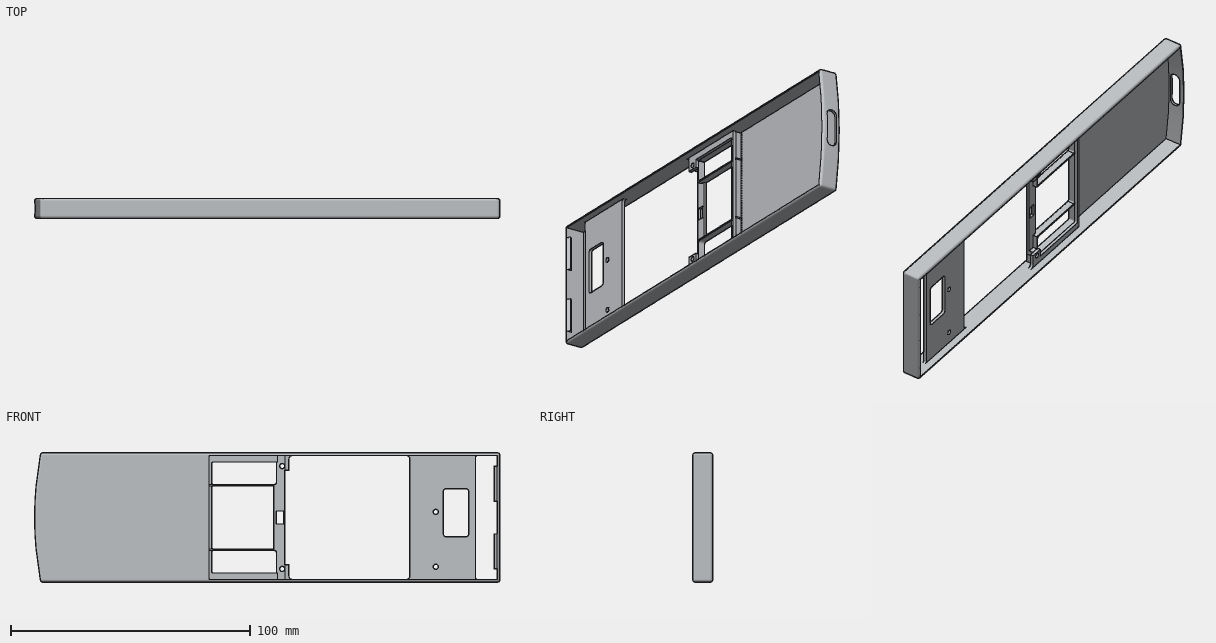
import cadquery as cq
import math

length = 194.74
depth = 8.5
height = 54.24
wall = 1.2
edge_round = 1.15
end_arc_radius = 144.0
panel_thickness = 1.2
end_slot_length = 16.4
end_slot_width = 4.6

front = -depth / 2
back = depth / 2
web_front = -0.45
web_back = 0.95
insert_front = -3.55

panel_edge = -24.4
window_left = -23.2
column_left = 2.65
window_right = 3.85
rail_end = 4.3
column_right = 7.35
tab_right = 9.1
plate_left = 59.6
plate_right = 87.2

inner_height = height - 2 * wall
inner_half = inner_height / 2
rail_edge = 23.2
tab_edge = 19.7
bar_outer = 13.8
bar_inner = 13.2

panel_corner_radius = 0.6
window_radius = 0.6
end_opening_radius = 0.6
opening_radius = 1.5
bar_bend_radius = 1.0
column_thickness = 1.2
screw_diameter = 2.05
column_screw_x = 6.25
column_screw_z = 21.5
column_slot_left = 3.85
column_slot_right = 6.75
column_slot_height = 5.3
port_x = (73.7, 84.3)
port_z = (-8.0, 12.0)
port_radius = 1.2
plate_screw_x = 70.5
plate_screw_z = (2.35, -20.6)

ridge_height = 1.2
ridge_inner = 6.8
ridge_outer = 21.5


def box(x0, x1, y0, y1, z0, z1):
    """A block given by its limits on the three axes."""
    return cq.Workplane("XY").box(x1 - x0, y1 - y0, z1 - z0, centered=False).translate((x0, y0, z0))


def screw_hole(x, z):
    """A cutter along Y through the whole depth."""
    return cq.Workplane("XZ", origin=(x, back, z)).circle(screw_diameter / 2).extrude(depth)


def rounded_end_block(inset, y0, y1):
    """The housing outline, moved inwards by inset, with its bowed left end."""
    half_height = height / 2 - inset
    right = length / 2 - inset
    left = -length / 2 + inset
    radius = end_arc_radius - inset
    bow = radius - math.sqrt(radius**2 - half_height**2)
    return (
        cq.Workplane("XZ", origin=(0, y1, 0))
        .moveTo(right, half_height)
        .lineTo(left + bow, half_height)
        .threePointArc((left, 0), (left + bow, -half_height))
        .lineTo(right, -half_height)
        .close()
        .extrude(y1 - y0)
    )


def open_front():
    """The space right of the front panel and inside the walls, rounded where it meets the panel."""
    space = box(panel_edge, length / 2 - wall, front, back, -inner_half, inner_half)
    return space.edges("|Y and <X").fillet(panel_corner_radius)


def web_cuts():
    """Openings in the web: insert window, display opening, connector port and screw holes."""
    window = box(window_left, window_right, web_front, web_back, -rail_edge, rail_edge)
    window = window.edges("|Y and <X").fillet(window_radius)
    passage = box(column_left, plate_left, web_front, web_back, -tab_edge, tab_edge)
    display = box(tab_right, plate_left, web_front, web_back, -inner_half, inner_half)
    display = display.edges("|Y").fillet(opening_radius)
    port = box(*port_x, web_front, web_back, *port_z).edges("|Y").fillet(port_radius)
    cuts = window.union(passage).union(display).union(port)
    for z in plate_screw_z:
        cuts = cuts.union(screw_hole(plate_screw_x, z))
    for side in (1, -1):
        cuts = cuts.union(screw_hole(column_screw_x, side * column_screw_z))
    return cuts


def end_opening():
    """The clear opening between the web and the right end wall."""
    opening = box(plate_right, length / 2 - wall, web_front, web_back, -inner_half, inner_half)
    return opening.edges("|Y and <X").fillet(end_opening_radius)


def snap_ridge(z0, z1):
    """A triangular ridge on the inside of the right end wall, at its back edge."""
    face = length / 2 - wall
    return (
        cq.Workplane("XY", origin=(0, 0, z0))
        .moveTo(face, back - 2 * ridge_height)
        .lineTo(face - ridge_height, back - ridge_height)
        .lineTo(face, back)
        .close()
        .extrude(z1 - z0)
    )


def make_housing():
    """The bowed shell with its front panel, the web across it and two snap ridges."""
    outer = rounded_end_block(0, front, back).edges().fillet(edge_round)
    cavity = rounded_end_block(wall, front + panel_thickness, back)
    web = box(panel_edge, plate_right + end_opening_radius, web_front, web_back, -inner_half, inner_half)
    web = web.cut(web_cuts()).cut(end_opening())
    body = outer.cut(cavity).cut(open_front()).union(web)
    slot = (
        cq.Workplane("YZ", origin=(-length / 2, 0, 0))
        .slot2D(end_slot_length, end_slot_width, 90)
        .extrude(2 * wall)
    )
    body = body.cut(slot)
    for z0, z1 in ((ridge_inner, ridge_outer), (-ridge_outer, -ridge_inner)):
        body = body.union(snap_ridge(z0, z1))
    return body


def make_corner_rail(side):
    """The L-shaped rail beside one outer window; side is 1 at the top and -1 at the bottom."""
    rail = box(panel_edge, rail_end, insert_front, web_front, bar_outer, inner_half)
    window = box(window_left, column_right, insert_front, web_front, bar_outer, rail_edge)
    window = window.edges("|Y and <X").fillet(window_radius)
    rail = rail.cut(window).intersect(open_front())
    return rail if side > 0 else rail.mirror("XY")


def make_middle_stile():
    """The upright between the two bars, beside the middle window."""
    stile = box(panel_edge, window_left + window_radius, insert_front, web_front, -bar_inner, bar_inner)
    window = box(window_left, column_right, insert_front, web_front, -bar_inner, bar_inner)
    return stile.cut(window.edges("|Y and <X").fillet(window_radius))


def make_column():
    """The upright on the right of the windows, with the two thin bars that divide them."""
    plate_back = insert_front + column_thickness
    wall_right = window_right + bar_outer - bar_inner
    plate = box(column_left, column_right, insert_front, plate_back, -inner_half, inner_half)
    foot = box(column_left, column_right, insert_front, web_front, tab_edge, inner_half)
    window_wall = box(window_right, wall_right, insert_front, web_front, bar_inner, tab_edge)
    bar = box(panel_edge, wall_right, insert_front, web_front, bar_inner, bar_outer)
    bend = box(window_right - bar_bend_radius, window_right, insert_front, web_front,
               bar_outer, bar_outer + bar_bend_radius)
    window = box(window_left, window_right, insert_front, web_front, bar_outer, rail_edge)
    window = window.edges("|Y and >X and <Z").fillet(bar_bend_radius)
    rail_seat = box(window_left, rail_end, insert_front, web_front, rail_edge, inner_half)
    additions = foot.union(window_wall).union(bar).union(bend)
    removals = window.union(rail_seat).union(screw_hole(column_screw_x, column_screw_z))
    slot = box(column_slot_left, column_slot_right, insert_front, web_front,
               -column_slot_height / 2, column_slot_height / 2)
    body = plate.union(additions).union(additions.mirror("XY"))
    return body.cut(removals).cut(removals.mirror("XY")).cut(slot)


housing = make_housing()
corner_rails = [make_corner_rail(side) for side in (1, -1)]
middle_stile = make_middle_stile()
column = make_column()

bodies = [housing, *corner_rails, middle_stile, column]
result = cq.Compound.makeCompound([body.solids().val() for body in bodies])